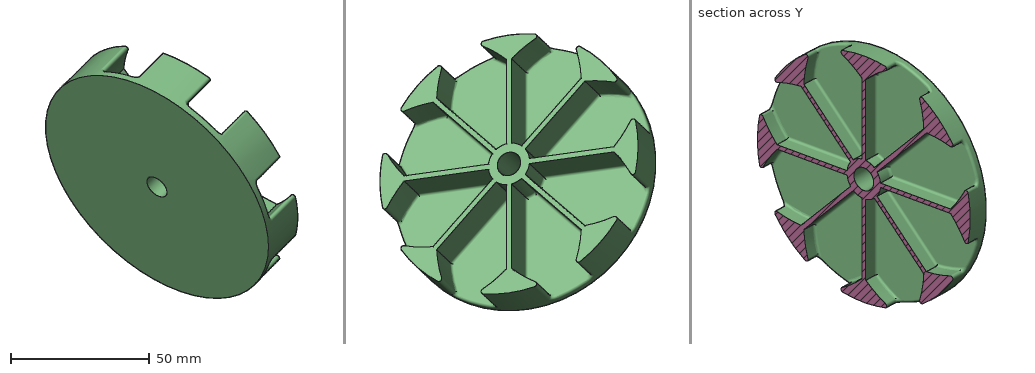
import cadquery as cq
import math

WHEEL_RADIUS = 50.0
WHEEL_WIDTH = 18.0
DISC_THICKNESS = 3.0
BORE_RADIUS = 4.5
HUB_RADIUS = 8.0

SPOKE_COUNT = 8
SPOKE_THICKNESS = 2.0
TOOTH_HALF_ANGLE = 14.7
FLANK_ROOT_RADIUS = 40.6
FLANK_RADIUS = 48.0

EDGE_ROUND = 1.0
CUT_MARGIN = 5.0
TOLERANCE = 0.01

PITCH_ANGLE = 360.0 / SPOKE_COUNT


def polar(radius, angle):
    """Point at an angle in degrees, measured from the cavity axis."""
    return (radius * math.sin(math.radians(angle)), radius * math.cos(math.radians(angle)))


def beside_spoke(radial):
    """Point on the spoke's side, a given distance along the spoke that bounds the cavity."""
    along = polar(radial, PITCH_ANGLE / 2)
    aside = polar(SPOKE_THICKNESS / 2, PITCH_ANGLE / 2 - 90)
    return (along[0] + aside[0], along[1] + aside[1])


def flank_midpoint(root, corner):
    """Middle of the flank arc, which bulges into the tooth."""
    run = corner[0] - root[0]
    rise = corner[1] - root[1]
    chord = math.hypot(run, rise)
    sagitta = FLANK_RADIUS - math.sqrt(FLANK_RADIUS**2 - (chord / 2) ** 2)
    return (
        (root[0] + corner[0]) / 2 + sagitta * rise / chord,
        (root[1] + corner[1]) / 2 - sagitta * run / chord,
    )


def mirrored(point):
    return (-point[0], point[1])


def make_cavity():
    """Cutter for the space between two neighbouring spokes, open through the rim."""
    hub_end = beside_spoke(math.sqrt(HUB_RADIUS**2 - (SPOKE_THICKNESS / 2) ** 2))
    flank_root = beside_spoke(FLANK_ROOT_RADIUS)
    corner_angle = PITCH_ANGLE / 2 - TOOTH_HALF_ANGLE
    corner = polar(WHEEL_RADIUS, corner_angle)
    outside = polar(WHEEL_RADIUS + CUT_MARGIN, corner_angle)
    flank_middle = flank_midpoint(flank_root, corner)
    return (
        cq.Workplane("XZ", origin=(0, DISC_THICKNESS, 0))
        .moveTo(*hub_end)
        .lineTo(*flank_root)
        .threePointArc(flank_middle, corner)
        .lineTo(*outside)
        .lineTo(*mirrored(outside))
        .lineTo(*mirrored(corner))
        .threePointArc(mirrored(flank_middle), mirrored(flank_root))
        .lineTo(*mirrored(hub_end))
        .threePointArc((0, HUB_RADIUS), hub_end)
        .close()
        .extrude(DISC_THICKNESS - WHEEL_WIDTH)
    )


def is_on_rim(edge):
    points = [edge.positionAt(t) for t in (0, 0.5, 1)]
    return all(abs(math.hypot(p.x, p.z) - WHEEL_RADIUS) < TOLERANCE for p in points)


def is_floor_edge(edge):
    points = [edge.positionAt(t) for t in (0, 0.5, 1)]
    return all(abs(p.y - DISC_THICKNESS) < TOLERANCE for p in points) and not is_on_rim(edge)


def is_window_edge(edge):
    """Edge around a rim opening: on the rim, but not on the wheel's two end faces or its seam."""
    middle = edge.positionAt(0.5)
    lowest = edge.BoundingBox().ymin
    inside_width = TOLERANCE < middle.y < WHEEL_WIDTH - TOLERANCE
    return is_on_rim(edge) and inside_width and lowest > TOLERANCE


def round_edges(body, wanted):
    edges = [edge for edge in body.edges().vals() if wanted(edge)]
    return body.newObject(edges).fillet(EDGE_ROUND)


def make_wheel():
    wheel = cq.Workplane("XZ").circle(WHEEL_RADIUS).extrude(-WHEEL_WIDTH)
    cavity = make_cavity()
    for index in range(SPOKE_COUNT):
        angle = PITCH_ANGLE * (index + 0.5)
        wheel = wheel.cut(cavity.rotate((0, 0, 0), (0, 1, 0), angle))
    wheel = round_edges(wheel, is_floor_edge)
    wheel = round_edges(wheel, is_window_edge)
    bore = cq.Workplane("XZ").circle(BORE_RADIUS).extrude(-WHEEL_WIDTH)
    return wheel.cut(bore)


result = make_wheel()